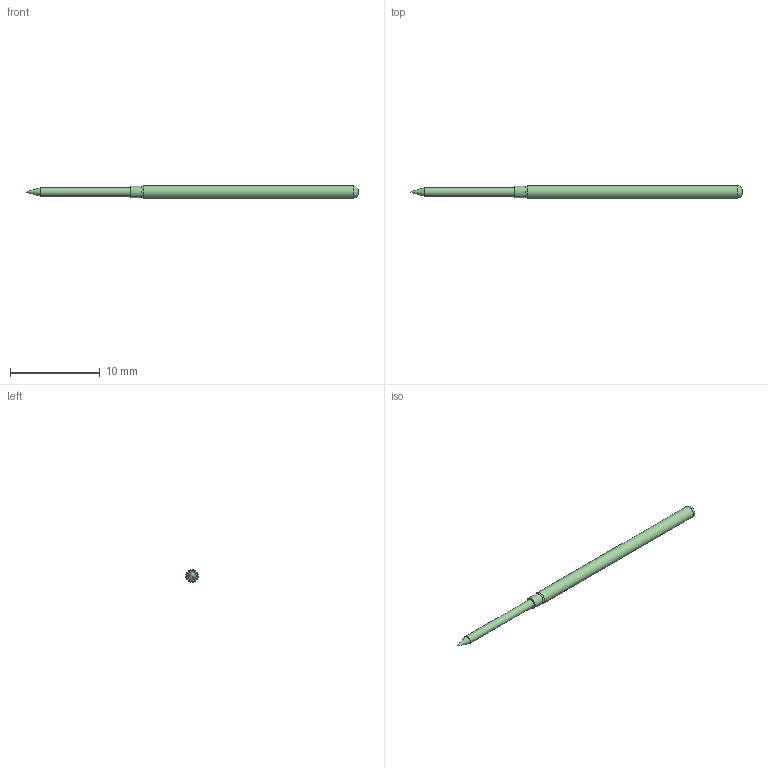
import cadquery as cq
import math

plunger_projection = 11.68
housing_length = 25.4
barrel_diameter = 1.37
collar_diameter = 1.26
plunger_diameter = 0.914
tip_length = 1.6
collar_length = 1.22
lead_in_length = 0.2
end_round_radius = 0.45

barrel_radius = barrel_diameter / 2
collar_radius = collar_diameter / 2
plunger_radius = plunger_diameter / 2

total_length = plunger_projection + housing_length

plunger_start = tip_length
collar_start = plunger_projection
lead_in_start = collar_start + collar_length
barrel_start = lead_in_start + lead_in_length
end_round_start = total_length - end_round_radius


def half_profile():
    """Closed half section in the XY plane, from the pointed tip to the rounded end."""
    end_flat_radius = barrel_radius - end_round_radius
    arc_reach = end_round_radius * math.sin(math.radians(45))
    arc_middle = (end_round_start + arc_reach, end_flat_radius + arc_reach)
    return (
        cq.Workplane("XY")
        .moveTo(0, 0)
        .lineTo(plunger_start, plunger_radius)
        .lineTo(collar_start, plunger_radius)
        .lineTo(collar_start, collar_radius)
        .lineTo(lead_in_start, collar_radius)
        .lineTo(barrel_start, barrel_radius)
        .lineTo(end_round_start, barrel_radius)
        .threePointArc(arc_middle, (total_length, end_flat_radius))
        .lineTo(total_length, 0)
        .close()
    )


result = half_profile().revolve(360, (0, 0, 0), (1, 0, 0))